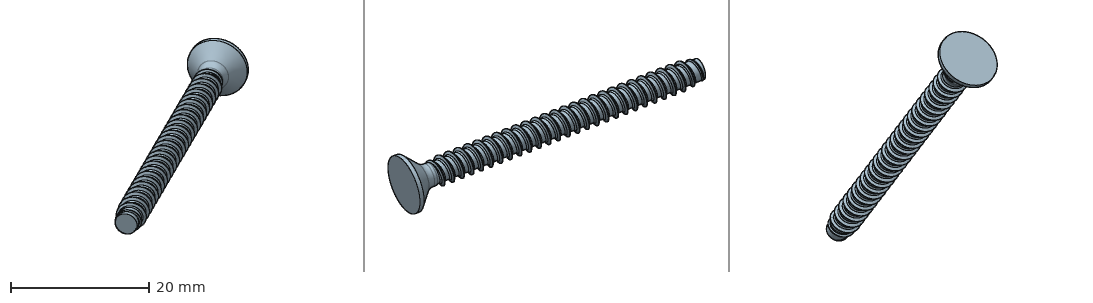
import cadquery as cq
import math

length = 50.0
head_radius = 4.5
head_rim = 0.7
head_half_angle = 45
neck_radius = 1.8
neck_end = 4.6
neck_taper = 0.5
core_radius = 1.65
neck_fillet = 1.75

crest_radius = 2.25
crest_width = 0.1
shoulder_radius = 1.8
shoulder_width = 0.45
foot_width = 1.35
root_overlap = 0.1
last_full_crest = 47.05
first_full_crest = 6.35
crest_gaps = 25
pitch = (last_full_crest - first_full_crest) / crest_gaps
full_turns = crest_gaps + 0.5
tip_runout_turns = 2
head_runout_turns = 1
runout_radius = 1.6


def shank_and_head():
    """Revolved head, neck and core."""
    half_angle = math.radians(head_half_angle)
    blend_radial = neck_fillet * (1 - math.cos(half_angle))
    blend_axial = neck_fillet * math.sin(half_angle)
    cone_end_radius = neck_radius + blend_radial
    cone_end = head_rim + (head_radius - cone_end_radius) / math.tan(half_angle)
    blend_mid = (
        neck_radius + neck_fillet * (1 - math.cos(half_angle / 2)),
        -(cone_end + blend_axial - neck_fillet * math.sin(half_angle / 2)),
    )
    return (
        cq.Workplane("XY")
        .lineTo(head_radius, 0)
        .lineTo(head_radius, -head_rim)
        .lineTo(cone_end_radius, -cone_end)
        .threePointArc(blend_mid, (neck_radius, -(cone_end + blend_axial)))
        .lineTo(neck_radius, -neck_end)
        .lineTo(core_radius, -(neck_end + neck_taper))
        .lineTo(core_radius, -length)
        .lineTo(0, -length)
        .close()
        .revolve(360, (0, 0, 0), (0, 1, 0))
    )


def helix(start_radius, end_radius, start_height, turns):
    """Right-handed helix about Z, starting on +X, whose radius may change evenly."""
    rise = pitch * turns
    if start_radius == end_radius:
        wire = cq.Wire.makeHelix(pitch, rise, start_radius)
    else:
        taper = math.atan2(end_radius - start_radius, rise)
        stretch = 1 / math.cos(taper)
        wire = cq.Wire.makeHelix(pitch * stretch, rise * stretch, start_radius, angle=math.degrees(taper))
    return wire.translate(cq.Vector(0, 0, start_height))


def thread_profile(outer_limit):
    """Radius and height of the ridge corners, none of them beyond the outer limit."""
    upper_half = [
        (min(crest_radius, outer_limit), crest_width / 2),
        (min(shoulder_radius, outer_limit), shoulder_width / 2),
        (core_radius - root_overlap, foot_width / 2),
    ]
    lower_half = [(radius, -height) for radius, height in reversed(upper_half)]
    return lower_half + upper_half


def thread_span(start_profile, end_profile, start_turn, turns):
    """Ridge along Z whose profile changes evenly; turns are counted from the last full crest."""
    rails = []
    for (start_radius, height), (end_radius, _) in zip(start_profile, end_profile):
        rails.append(helix(start_radius, end_radius, height, turns))
    faces = []
    for rail, next_rail in zip(rails, rails[1:] + rails[:1]):
        faces.append(cq.Face.makeRuledSurface(rail, next_rail))
    for end in (0, 1):
        corners = [rail.positionAt(end) for rail in rails]
        faces.append(cq.Face.makeFromWires(cq.Wire.makePolygon(corners, close=True)))
    ridge = cq.Solid.makeSolid(cq.Shell.makeShell(faces))
    ridge = ridge.rotate(cq.Vector(0, 0, 0), cq.Vector(0, 0, 1), 360 * start_turn)
    return ridge.translate(cq.Vector(0, 0, pitch * start_turn - last_full_crest))


def thread():
    """Full thread with a fading run-out at each end, turned from Z onto the Y axis."""
    full = thread_profile(crest_radius)
    faded = thread_profile(runout_radius)
    spans = [
        thread_span(full, full, 0, full_turns),
        thread_span(faded, full, -tip_runout_turns, tip_runout_turns),
        thread_span(full, faded, full_turns, head_runout_turns),
    ]
    return [span.rotate(cq.Vector(0, 0, 0), cq.Vector(1, 0, 0), -90) for span in spans]


def beyond_tip():
    """Block that trims the thread flush with the tip face."""
    size = 4 * crest_radius
    return cq.Workplane("XY").box(size, size, size).translate((0, -length - size / 2, 0))


screw = shank_and_head()
for ridge in thread():
    screw = screw.union(cq.Workplane(ridge))
result = screw.cut(beyond_tip())